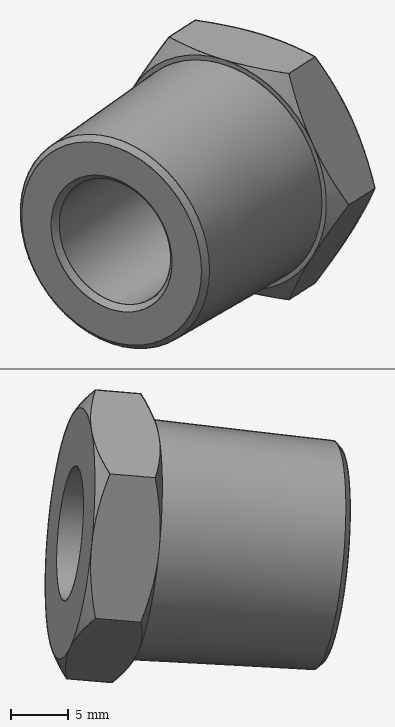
import cadquery as cq
import math

across_corners = 25.4
across_flats = across_corners * math.cos(math.radians(30))
head_thickness = 6.0
head_chamfer_angle = 30.0

total_length = 23.0
shank_root_diameter = 21.08
shank_tip_diameter = 20.07
tip_chamfer = 0.5

bore_diameter = 11.8
bore_chamfer = 0.5

head_front_y = -head_thickness
tip_y = -total_length


def revolve_profile(points):
    """Solid of revolution about the Y axis from (radius, y) points."""
    return cq.Workplane("XY").polyline(points).close().revolve(360, (0, 0, 0), (0, 1, 0))


def make_head():
    """Hexagonal prism with the corners turned off conically at both faces."""
    prism = cq.Workplane("XZ").polygon(6, across_corners).extrude(head_thickness)
    face_radius = across_flats / 2
    corner_drop = (across_corners / 2 - face_radius) * math.tan(math.radians(head_chamfer_angle))
    turned_blank = revolve_profile([
        (0, 0),
        (face_radius, 0),
        (across_corners / 2, -corner_drop),
        (across_corners / 2, head_front_y + corner_drop),
        (face_radius, head_front_y),
        (0, head_front_y),
    ])
    return prism.intersect(turned_blank)


def make_shank():
    """Tapered shank with a chamfered tip."""
    tip_radius = shank_tip_diameter / 2
    return revolve_profile([
        (0, head_front_y),
        (shank_root_diameter / 2, head_front_y),
        (tip_radius, tip_y + tip_chamfer),
        (tip_radius - tip_chamfer, tip_y),
        (0, tip_y),
    ])


def make_bore():
    """Through bore, chamfered where it opens at the shank tip."""
    bore_radius = bore_diameter / 2
    return revolve_profile([
        (0, 0),
        (bore_radius, 0),
        (bore_radius, tip_y + bore_chamfer),
        (bore_radius + bore_chamfer, tip_y),
        (0, tip_y),
    ])


result = make_head().union(make_shank()).cut(make_bore())